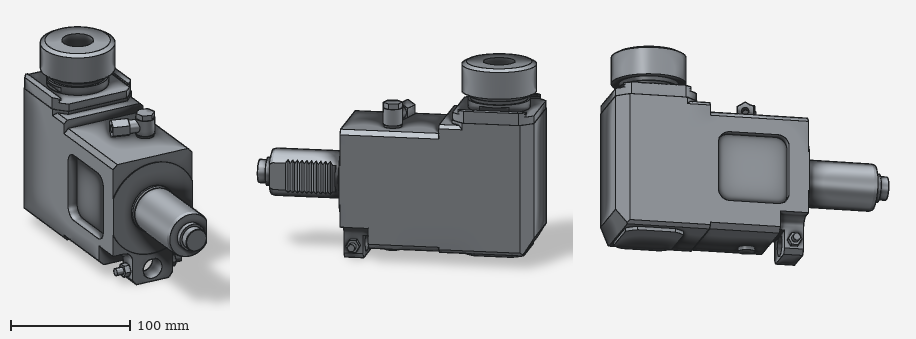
import cadquery as cq
import math

body_left = -165.0
step_x = -85.3
body_right = -0.75
body_width = 76.0
half_width = body_width / 2
front_top = 55.3
front_bottom = -55.2
front_edge_chamfer = 3.0
rear_top = 47.4
rear_bottom = -54.6
rear_top_chamfer = 4.0
rear_bottom_chamfer = 4.5
corner_along_x = 10.3
corner_along_y = 9.6
nose_run = 8.7
nose_rise = 14.0

spindle_x = -130.0
head_length = 2 * (spindle_x - body_left)
head_base = 52.0
plate_base = 58.0
plate_top = 64.6
plate_inset = 0.2
plate_corner_radius = 44.5
rail_top = 68.3
rail_width = 6.0
rail_length = 58.0
undercut_depth = 1.5
undercut_height = 2.2
neck_diameter = 52.4
neck_top = 71.8
flat_distance = 23.0
flat_base = 65.0
flat_top = 69.6
groove_diameter = 48.2
groove_top = 74.7
collar_diameter = 50.2
nut_base = 78.4
nut_top = 103.66
nut_diameter = 63.0
nut_edge_width = 4.0
nut_edge_height = 2.2
nut_bore_diameter = 26.4
nut_bore_depth = 15.0

cover_length = 50.2
cover_width = 59.1
cover_corner_radius = 33.7
cover_bottom = -58.2
port_x = -42.05
port_y = 15.9
plug_diameter = 14.3

pocket_left, pocket_right = -78.5, -17.5
pocket_height = 60.2
pocket_radius = 10.0
pocket_depth = 8.7

notch_left = -25.0
notch_ceiling = -36.4
notch_radius = 8.7
rib_bottom = -47.3
foot_left = -17.1
foot_bottom = -67.5
foot_half_width = 19.2
foot_chamfer_height = 4.5
foot_chamfer_width = 3.7
foot_hole_diameter = 18.0
screw_z = -55.8
screw_x = -9.2
screw_diameter = 6.2
screw_tip = 31.0
screw_nut_face = 24.5
screw_nut_corner_diameter = 11.7

seat_diameter = 83.3
ring_diameter = 41.6
ring_end = 2.1
ring_groove_diameter = 39.2
ring_groove_end = 3.9
shank_diameter = 40.0
shank_end = 63.3
shank_chamfer_length = 2.9
shank_chamfer_depth = 0.8
collar_end = 67.9
shank_collar_diameter = 23.8
pin_end = 75.0
pin_diameter = 19.8
pin_chamfer = 0.4
rack_start = 6.6
rack_y = 16.3
tooth_pitch = 4.0
tooth_count = 10
first_tooth_x = 11.7
tooth_depth = 2.2

bolt_diameter = 16.3
bolt_base = 49.4
bolt_foot_diameter = 15.0
bolt_head_base = 63.6
bolt_head_top = 68.3
arm_angle = 15.0
arm_z = 56.5
arm_diameter = 11.3
arm_nut_start = 14.8
arm_nut_end = 29.4
arm_nut_corner_diameter = 15.7
arm_bore_diameter = 6.1
arm_bore_depth = 8.0


def box(x0, x1, y0, y1, z0, z1):
    return cq.Workplane("XY").box(x1 - x0, y1 - y0, z1 - z0, centered=False).translate((x0, y0, z0))


def disc(x, y, z0, z1, diameter):
    """Vertical cylinder between two heights."""
    return cq.Workplane("XY").center(x, y).circle(diameter / 2).extrude(z1 - z0).translate((0, 0, z0))


def octagon_prism(z0, z1):
    """Head footprint with chamfered corners."""
    x_outer = head_length / 2
    x_inner = x_outer - corner_along_x
    y_inner = half_width - corner_along_y
    points = [
        (x_outer, y_inner), (x_inner, half_width), (-x_inner, half_width), (-x_outer, y_inner),
        (-x_outer, -y_inner), (-x_inner, -half_width), (x_inner, -half_width), (x_outer, -y_inner),
    ]
    return cq.Workplane("XY").polyline(points).close().extrude(z1 - z0).translate((spindle_x, 0, z0))


def round_cornered_plate(length, width, corner_radius, z0, z1):
    """Rectangle whose corners are trimmed by a circle on the spindle axis."""
    plate = box(spindle_x - length / 2, spindle_x + length / 2, -width / 2, width / 2, z0, z1)
    return plate.intersect(disc(spindle_x, 0, z0, z1, 2 * corner_radius))


def make_front_block():
    block = box(body_left, step_x, -half_width, half_width, front_bottom, front_top)
    block = block.edges("|X").chamfer(front_edge_chamfer)
    footprint = octagon_prism(front_bottom, plate_base).union(
        box(spindle_x, step_x, -half_width, half_width, front_bottom, plate_base)
    )
    block = block.union(octagon_prism(head_base, plate_base)).intersect(footprint)
    nose = (
        cq.Workplane("XZ")
        .polyline([
            (body_left, front_bottom),
            (body_left + nose_run, front_bottom),
            (body_left, front_bottom + nose_rise),
        ])
        .close()
        .extrude(half_width, both=True)
    )
    return block.cut(nose)


def make_rear_block():
    block = box(step_x, body_right, -half_width, half_width, rear_bottom, rear_top)
    block = block.edges("|X and >Z").chamfer(rear_top_chamfer)
    block = block.edges("|X and <Z").chamfer(rear_bottom_chamfer)
    notch = box(notch_left, body_right, -half_width, half_width, rear_bottom, notch_ceiling)
    return block.cut(notch).union(make_clamp_foot())


def make_clamp_foot():
    flare = foot_half_width + notch_radius
    rib = box(notch_left, body_right, -flare, flare, rib_bottom, notch_ceiling)
    for side in (-1, 1):
        y0, y1 = sorted((side * foot_half_width, side * flare))
        rib = rib.cut(box(notch_left, body_right, y0, y1, rib_bottom, notch_ceiling - notch_radius))
        hollow = (
            cq.Workplane("YZ")
            .center(side * flare, notch_ceiling - notch_radius)
            .circle(notch_radius)
            .extrude(body_right - notch_left)
            .translate((notch_left, 0, 0))
        )
        rib = rib.cut(hollow)
    foot = box(foot_left, body_right, -foot_half_width, foot_half_width, foot_bottom, notch_ceiling)
    foot = foot.faces("<Z").edges("|X").chamfer(foot_chamfer_height, foot_chamfer_width)
    hole = (
        cq.Workplane("YZ", origin=(foot_left, 0, screw_z))
        .circle(foot_hole_diameter / 2)
        .extrude(body_right - foot_left)
    )
    foot = foot.cut(hole)
    for side in (-1, 1):
        face = cq.Plane(
            origin=(screw_x, side * foot_half_width, screw_z), xDir=(1, 0, 0), normal=(0, side, 0)
        )
        nut = (
            cq.Workplane(face)
            .polygon(6, screw_nut_corner_diameter)
            .extrude(screw_nut_face - foot_half_width)
        )
        screw = cq.Workplane(face).circle(screw_diameter / 2).extrude(screw_tip - foot_half_width)
        foot = foot.union(nut).union(screw)
    return rib.union(foot)


def make_pocket():
    return (
        cq.Workplane("XZ", origin=((pocket_left + pocket_right) / 2, -half_width, 0))
        .rect(pocket_right - pocket_left, pocket_height)
        .extrude(-pocket_depth)
        .edges("|Y")
        .fillet(pocket_radius)
    )


def make_head_plate():
    length = head_length - 2 * plate_inset
    width = body_width - 2 * plate_inset
    plate = round_cornered_plate(length, width, plate_corner_radius, plate_base, rail_top)
    rail_inside = half_width - rail_width
    x0, x1 = body_left, body_left + head_length
    plate = plate.cut(box(x0, x1, -rail_inside, rail_inside, plate_top, rail_top))
    groove = rail_inside + undercut_depth
    plate = plate.cut(box(x0, x1, -groove, groove, plate_top, plate_top + undercut_height))
    end_gap = (head_length - rail_length) / 2
    for end in (x0, x1 - end_gap):
        plate = plate.cut(box(end, end + end_gap, -half_width, half_width, plate_top, rail_top))
    return plate


def make_spindle():
    neck = disc(spindle_x, 0, plate_base, neck_top, neck_diameter)
    radius = neck_diameter / 2
    for side in (-1, 1):
        y0, y1 = sorted((side * flat_distance, side * radius))
        neck = neck.cut(box(spindle_x - radius, spindle_x + radius, y0, y1, flat_base, flat_top))
    neck = neck.union(disc(spindle_x, 0, neck_top, groove_top, groove_diameter))
    neck = neck.union(disc(spindle_x, 0, groove_top, nut_base, collar_diameter))
    nut = disc(spindle_x, 0, nut_base, nut_top, nut_diameter)
    nut = nut.faces(">Z").chamfer(nut_edge_height, nut_edge_width)
    bore = disc(spindle_x, 0, nut_top - nut_bore_depth, nut_top, nut_bore_diameter)
    return neck.union(nut).cut(bore)


def make_bottom_details():
    cover = round_cornered_plate(cover_length, cover_width, cover_corner_radius, cover_bottom, front_bottom)
    plug = disc(port_x, port_y, cover_bottom, rear_bottom, plug_diameter)
    return cover.union(plug)


def make_shank():
    radius = shank_diameter / 2
    profile = [
        (body_right, 0),
        (body_right, ring_diameter / 2),
        (ring_end, ring_diameter / 2),
        (ring_groove_end, ring_groove_diameter / 2),
        (ring_groove_end, radius),
        (shank_end - shank_chamfer_length, radius),
        (shank_end, radius - shank_chamfer_depth),
        (shank_end, shank_collar_diameter / 2),
        (collar_end, shank_collar_diameter / 2),
        (collar_end, pin_diameter / 2),
        (pin_end - pin_chamfer, pin_diameter / 2),
        (pin_end, pin_diameter / 2 - pin_chamfer),
        (pin_end, 0),
    ]
    shank = cq.Workplane("XY").polyline(profile).close().revolve(360, (0, 0, 0), (1, 0, 0))
    shank = shank.cut(box(rack_start, shank_end, rack_y, radius, -radius, radius))
    for index in range(tooth_count):
        x = first_tooth_x + index * tooth_pitch
        notch = (
            cq.Workplane("XY")
            .polyline([
                (x - tooth_pitch / 2, rack_y),
                (x, rack_y - tooth_depth),
                (x + tooth_pitch / 2, rack_y),
            ])
            .close()
            .extrude(radius, both=True)
        )
        shank = shank.cut(notch)
    seat = cq.Workplane("YZ").circle(seat_diameter / 2).extrude(body_right)
    seat = seat.intersect(box(body_right, 0, -half_width, half_width, -seat_diameter, seat_diameter))
    return shank.union(seat)


def make_fitting():
    bolt = disc(port_x, port_y, bolt_base, bolt_head_base, bolt_diameter)
    bolt = bolt.union(disc(port_x, port_y, rear_top, bolt_base, bolt_foot_diameter))
    head = (
        cq.Workplane("XY", origin=(port_x, port_y, bolt_head_base))
        .transformed(rotate=(0, 0, arm_angle))
        .polygon(6, bolt_diameter)
        .extrude(bolt_head_top - bolt_head_base)
    )
    angle = math.radians(arm_angle)
    outward = cq.Vector(-math.sin(angle), -math.cos(angle), 0)
    centre = cq.Vector(port_x, port_y, arm_z)

    def across_arm(distance):
        return cq.Plane(origin=centre + outward * distance, xDir=(0, 0, 1), normal=outward)

    arm = cq.Workplane(across_arm(0)).circle(arm_diameter / 2).extrude(arm_nut_start)
    nut = (
        cq.Workplane(across_arm(arm_nut_start))
        .polygon(6, arm_nut_corner_diameter)
        .extrude(arm_nut_end - arm_nut_start)
    )
    bore = cq.Workplane(across_arm(arm_nut_end)).circle(arm_bore_diameter / 2).extrude(-arm_bore_depth)
    return bolt.union(head).union(arm).union(nut.cut(bore))


result = (
    make_front_block()
    .union(make_rear_block())
    .cut(make_pocket())
    .union(make_head_plate())
    .union(make_spindle())
    .union(make_bottom_details())
    .union(make_shank())
    .union(make_fitting())
)